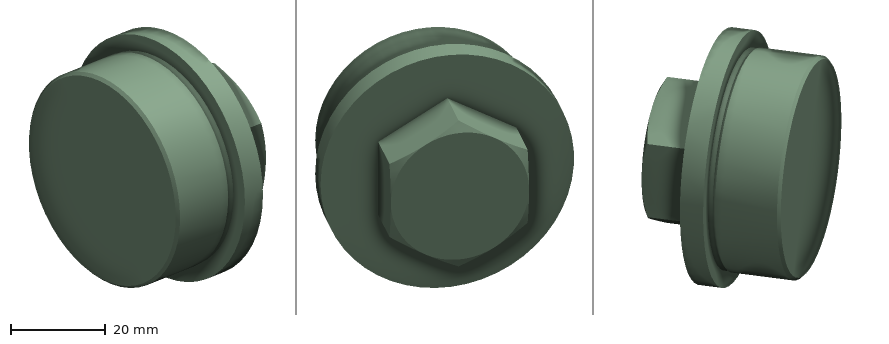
import cadquery as cq
import math

flange_diameter = 55.0
body_diameter = 48.0
total_length = 33.0
flange_front = 15.9
flange_thickness = 5.1
edge_chamfer = 0.65
groove_bottom = 14.9
groove_top_inset = 0.15
hex_across_flats = 30.0
hex_sides = 6
hex_chamfer_angle = 30.0

flange_radius = flange_diameter / 2
body_radius = body_diameter / 2
flange_back = flange_front + flange_thickness
half_side_angle = math.pi / hex_sides
hex_corner_radius = hex_across_flats / 2 / math.cos(half_side_angle)


def revolve_about_y(points):
    """Revolve an (X, Y) half profile around the Y axis."""
    return cq.Workplane("XY").polyline(points).close().revolve(360, (0, 0), (0, 1))


def make_turned_body():
    """Chamfered body, V-shaped relief groove and flange."""
    chamfered_radius = body_radius - edge_chamfer
    return revolve_about_y([
        (0, 0),
        (chamfered_radius, 0),
        (body_radius, edge_chamfer),
        (body_radius, groove_bottom - edge_chamfer),
        (chamfered_radius, groove_bottom),
        (body_radius - groove_top_inset, flange_front),
        (flange_radius, flange_front),
        (flange_radius, flange_back),
        (0, flange_back),
    ])


def make_hex_head():
    """Hexagon with flats facing +/-X, its corners trimmed by a cone at the end."""
    corners = []
    for i in range(hex_sides):
        angle = half_side_angle * (2 * i + 1)
        corners.append((hex_corner_radius * math.cos(angle), hex_corner_radius * math.sin(angle)))
    prism = (
        cq.Workplane("XZ", origin=(0, flange_back, 0))
        .polyline(corners)
        .close()
        .extrude(flange_back - total_length)
    )
    end_radius = hex_across_flats / 2
    cone_drop = (flange_radius - end_radius) * math.tan(math.radians(hex_chamfer_angle))
    trimming_cone = revolve_about_y([
        (0, flange_back),
        (flange_radius, flange_back),
        (flange_radius, total_length - cone_drop),
        (end_radius, total_length),
        (0, total_length),
    ])
    return prism.intersect(trimming_cone)


result = make_turned_body().union(make_hex_head())